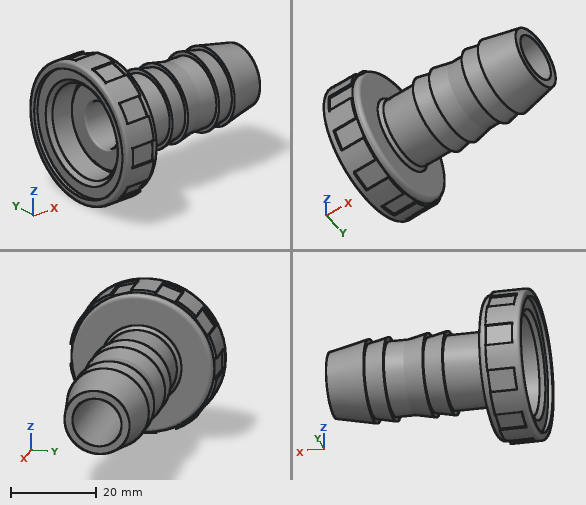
import cadquery as cq
overall_length = 49.0
nut_length = 10.05
grip_length = 8.25
grip_recess_start = 1.75
face_recess_depth = 1.05
thread_lead_depth = 2.15
head_face = 7.2
shaft_start = 11.1
barb_pitch = 4.75
barb_steps = (0, 1, 3)
tip_barb_pitches = 2
pitch_count = 6
first_barb_start = overall_length - pitch_count * barb_pitch

outer_diameter = 36.0
grip_radius = outer_diameter / 2
grip_edge_round = 0.7
rear_rim_radius = 17.3
rear_rim_round = 1.0
face_recess_radius = 16.15
thread_lead_radius = 13.2
bore_radius = 12.05

grip_recess_count = 10
grip_recess_width = 5.25
grip_recess_floor_radius = 17.35

head_radius = 11.02
shaft_radius = 8.95
shoulder_slope = 0.75
barb_radius = 10.0
tip_radius = 7.95
hose_bore_radius = 6.0
hose_bore_round = 0.5

shoulder_start = shaft_start - (head_radius - shaft_radius) / shoulder_slope


def revolve_about_x(profile):
    """Revolve a closed outline of (x, radius) points about the X axis."""
    return profile.close().revolve(360, (0, 0, 0), (1, 0, 0))


def make_grip_cutter(angle):
    """Flat-floored block that cuts one grip recess, open at the rear step."""
    length = grip_length - grip_recess_start
    depth = grip_radius - grip_recess_floor_radius
    block = cq.Workplane("XY").box(length, depth, grip_recess_width, centered=(False, False, True))
    block = block.translate((grip_recess_start, grip_recess_floor_radius, 0))
    return block.rotate((0, 0, 0), (1, 0, 0), angle)


def make_nut():
    """Union nut: gripped rim, narrower rear rim, stepped cavity and conical seat."""
    grip = cq.Workplane("YZ").circle(grip_radius).extrude(grip_length)
    grip = grip.faces("<X").edges().fillet(grip_edge_round)
    for index in range(grip_recess_count):
        grip = grip.cut(make_grip_cutter(index * 360 / grip_recess_count))

    rear_rim = cq.Workplane("YZ").circle(rear_rim_radius).extrude(nut_length)
    rear_rim = rear_rim.faces(">X").edges().fillet(rear_rim_round)

    seat_exit_radius = shaft_radius + shoulder_slope * (shaft_start - nut_length)
    cavity = revolve_about_x(
        cq.Workplane("XY")
        .lineTo(0, face_recess_radius)
        .lineTo(face_recess_depth, face_recess_radius)
        .lineTo(face_recess_depth, thread_lead_radius)
        .lineTo(thread_lead_depth, bore_radius)
        .lineTo(shoulder_start, bore_radius)
        .lineTo(shoulder_start, head_radius)
        .lineTo(nut_length, seat_exit_radius)
        .lineTo(nut_length, 0)
    )
    return grip.union(rear_rim).cut(cavity)


def make_barb(start, end, end_radius):
    """Solid cone frustum falling from the barb crest to end_radius."""
    return revolve_about_x(
        cq.Workplane("XY")
        .moveTo(start, 0)
        .lineTo(start, barb_radius)
        .lineTo(end, end_radius)
        .lineTo(end, 0)
    )


def make_tail():
    """Hose tail: head held in the nut, conical shoulder, barbed shaft and through bore."""
    tip_barb_start = overall_length - tip_barb_pitches * barb_pitch
    tail = revolve_about_x(
        cq.Workplane("XY")
        .moveTo(head_face, 0)
        .lineTo(head_face, head_radius)
        .lineTo(shoulder_start, head_radius)
        .lineTo(shaft_start, shaft_radius)
        .lineTo(tip_barb_start, shaft_radius)
        .lineTo(tip_barb_start, 0)
    )
    for step in barb_steps:
        start = first_barb_start + step * barb_pitch
        tail = tail.union(make_barb(start, start + barb_pitch, shaft_radius))
    tail = tail.union(make_barb(tip_barb_start, overall_length, tip_radius))

    tail = tail.cut(cq.Workplane("YZ").circle(hose_bore_radius).extrude(overall_length))
    bore_mouth = tail.faces("<X").edges(cq.selectors.RadiusNthSelector(0))
    return bore_mouth.fillet(hose_bore_round)


nut = make_nut()
tail = make_tail()

result = cq.Compound.makeCompound([nut.val(), tail.val()])